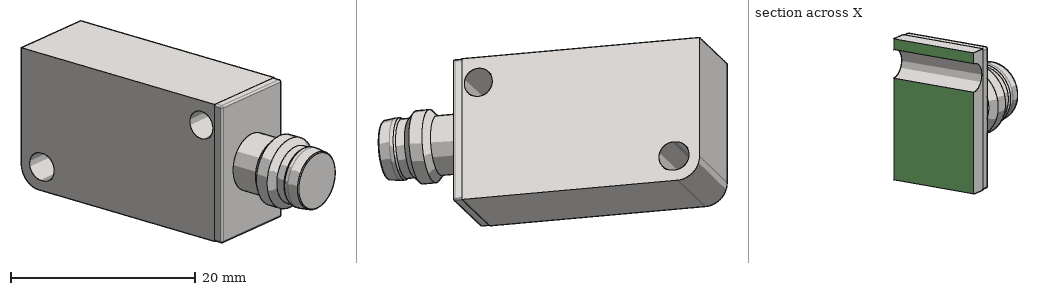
import cadquery as cq

total_length = 37.1
depth = 10.3
height = 16.0

housing_length = 26.97
cap_end = 28.0
cap_length = cap_end - housing_length
cap_fillet = 0.22
corner_radius = 2.5

hole_diameter = 3.2
slot_length = 3.4
hole_inset = 2.9
upper_hole_drop = 2.85
slot_rise = 2.8
round_hole_x = cap_end - hole_inset
slot_x = hole_inset
round_hole_z = height / 2 - upper_hole_drop
slot_z = slot_rise - height / 2

shaft_radius = 3.25
collar_radius = 4.0
collar_bevel = collar_radius - shaft_radius
collar_start = 31.13
collar_end = 34.1
barb_start = 35.1
barb_peak_start = 35.32
barb_peak_end = 35.75
barb_radius = 3.4
tip_chamfer = 0.1


def make_housing():
    """Block with one rounded lower corner, a round hole and a short slot through its depth."""
    block = (
        cq.Workplane("XY")
        .box(housing_length, depth, height, centered=(False, True, True))
        .edges("|Y and <X and <Z")
        .fillet(corner_radius)
    )
    round_hole = (
        cq.Workplane("XZ")
        .center(round_hole_x, round_hole_z)
        .circle(hole_diameter / 2)
        .extrude(depth / 2, both=True)
    )
    slot = (
        cq.Workplane("XZ")
        .center(slot_x, slot_z)
        .slot2D(slot_length, hole_diameter)
        .extrude(depth / 2, both=True)
    )
    return block.cut(round_hole).cut(slot)


def make_cap():
    """Plate closing the housing, rounded on every edge except those against the housing."""
    plate = cq.Workplane("XY").box(cap_length, depth, height, centered=(False, True, True))
    rounded = plate.edges("|X or >X").fillet(cap_fillet)
    return rounded.translate((housing_length, 0, 0))


def make_connector():
    """Round plug with a bevelled collar, a low snap barb tapering to the tip, and a chamfered end."""
    profile = [
        (cap_end, 0),
        (cap_end, shaft_radius),
        (collar_start, shaft_radius),
        (collar_start + collar_bevel, collar_radius),
        (collar_end - collar_bevel, collar_radius),
        (collar_end, shaft_radius),
        (barb_start, shaft_radius),
        (barb_peak_start, barb_radius),
        (barb_peak_end, barb_radius),
        (total_length - tip_chamfer, shaft_radius),
        (total_length, shaft_radius - tip_chamfer),
        (total_length, 0),
    ]
    return cq.Workplane("XY").polyline(profile).close().revolve(360, (0, 0, 0), (1, 0, 0))


housing = make_housing()
cap = make_cap()
connector = make_connector()

result = cq.Compound.makeCompound([housing.val(), cap.val(), connector.val()])